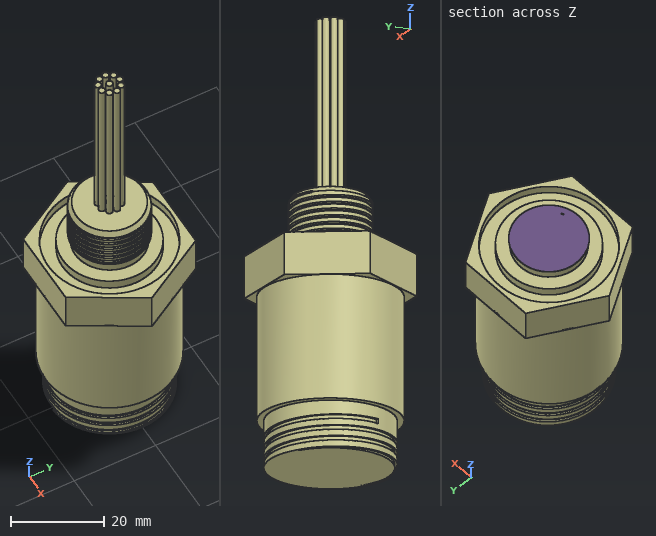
import cadquery as cq
import math

spigot_top = 10.6
body_top = 38.5
hex_top = 48.0
collar_bottom = 49.9
collar_top = 60.8
wire_top = 100.7

spigot_diameter = 28.6
body_diameter = 31.6
hex_across_flats = 32.0
ring_outer_diameter = 30.0
ring_inner_diameter = 23.0
ring_depth = 2.3

neck_diameter = 16.8
collar_diameter = 18.0
collar_top_chamfer_height = 1.2
collar_top_chamfer_width = 0.9
collar_bottom_chamfer_height = 0.9

wire_diameter = 1.5
outer_wire_count = 9
wire_circle_radius = 2.5

spigot_thread_pitch = 2.4
spigot_groove_width = 1.0
spigot_groove_depth = 0.5
spigot_groove_end_height = 7.3
spigot_groove_end_angle = 198
spigot_groove_turns = 3.5

collar_thread_pitch = 1.5
collar_groove_width = 0.6
collar_groove_root_width = 0.1
collar_groove_depth = 0.4
collar_groove_start_height = 50.6
collar_groove_start_angle = 90
collar_groove_turns = 6.1

cutter_overlap = 0.3


def cylinder(diameter, bottom, top):
    return cq.Workplane("XY").workplane(offset=bottom).circle(diameter / 2).extrude(top - bottom)


def helical_groove(diameter, depth, width, root_width, pitch, turns, start_height, start_angle):
    """Right-hand helical cutter with a trapezoidal section."""
    surface_radius = diameter / 2
    root_radius = surface_radius - depth
    outer_radius = surface_radius + cutter_overlap
    flank_slope = (width - root_width) / 2 / depth
    outer_half_width = width / 2 + flank_slope * cutter_overlap
    path = cq.Wire.makeHelix(pitch, pitch * turns, surface_radius)
    section = cq.Workplane("XZ").polyline(
        [
            (root_radius, -root_width / 2),
            (outer_radius, -outer_half_width),
            (outer_radius, outer_half_width),
            (root_radius, root_width / 2),
        ]
    ).close()
    cutter = section.sweep(cq.Workplane(path), isFrenet=True)
    return cutter.rotate((0, 0, 0), (0, 0, 1), start_angle).translate((0, 0, start_height))


def make_housing():
    hex_across_corners = hex_across_flats / math.cos(math.pi / 6)
    hexagon = (
        cq.Workplane("XY")
        .workplane(offset=body_top)
        .polygon(6, hex_across_corners)
        .extrude(hex_top - body_top)
    )
    ring_floor = hex_top - ring_depth
    ring_recess = cylinder(ring_outer_diameter, ring_floor, hex_top).cut(
        cylinder(ring_inner_diameter, ring_floor, hex_top)
    )
    spigot = cylinder(spigot_diameter, 0, spigot_top).cut(make_spigot_groove())
    body = cylinder(body_diameter, spigot_top, body_top)
    return hexagon.cut(ring_recess).union(body).union(spigot)


def make_spigot_groove():
    rise = spigot_thread_pitch * spigot_groove_turns
    return helical_groove(
        diameter=spigot_diameter,
        depth=spigot_groove_depth,
        width=spigot_groove_width,
        root_width=spigot_groove_width,
        pitch=spigot_thread_pitch,
        turns=spigot_groove_turns,
        start_height=spigot_groove_end_height - rise,
        start_angle=spigot_groove_end_angle - 360 * spigot_groove_turns,
    )


def make_collar():
    radius = collar_diameter / 2
    outline = (
        cq.Workplane("XZ")
        .moveTo(0, collar_bottom)
        .lineTo(neck_diameter / 2, collar_bottom)
        .lineTo(radius, collar_bottom + collar_bottom_chamfer_height)
        .lineTo(radius, collar_top - collar_top_chamfer_height)
        .lineTo(radius - collar_top_chamfer_width, collar_top)
        .lineTo(0, collar_top)
        .close()
        .revolve(360, (0, 0, 0), (0, 1, 0))
    )
    groove = helical_groove(
        diameter=collar_diameter,
        depth=collar_groove_depth,
        width=collar_groove_width,
        root_width=collar_groove_root_width,
        pitch=collar_thread_pitch,
        turns=collar_groove_turns,
        start_height=collar_groove_start_height,
        start_angle=collar_groove_start_angle,
    )
    bar_top = collar_groove_start_height + collar_thread_pitch * (collar_groove_turns + 1)
    bar_bottom = collar_groove_start_height - collar_thread_pitch
    threaded_bar = cylinder(collar_diameter, bar_bottom, bar_top).cut(groove)
    return threaded_bar.intersect(outline).union(cylinder(neck_diameter, hex_top, collar_bottom))


def make_wires():
    return (
        cq.Workplane("XY")
        .workplane(offset=collar_top)
        .polarArray(wire_circle_radius, 90, 360, outer_wire_count)
        .circle(wire_diameter / 2)
        .extrude(wire_top - collar_top)
        .union(cylinder(wire_diameter, collar_top, wire_top))
    )


result = make_housing().union(make_collar()).union(make_wires())